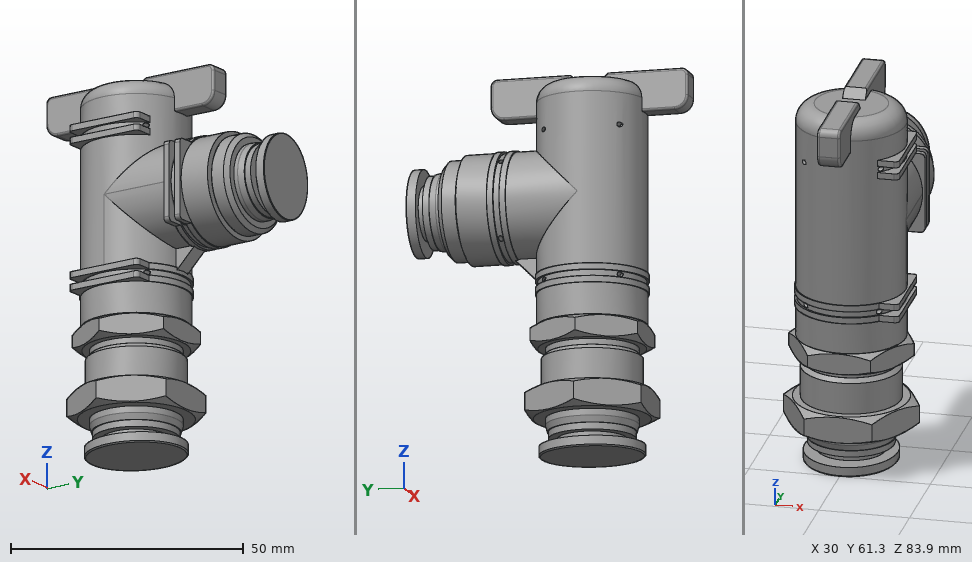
import cadquery as cq
import math


body_radius = 12.0
body_bottom = 28.7
body_top = 81.9
dome_radius = 4.0
branch_axis_height = 55.9
branch_end = 27.1

band_radius = 12.25
band_offset = 18.1
lower_pair_height = branch_axis_height - band_offset
upper_pair_height = 70.8
pair_width = 4.2
gap_width = 1.4
groove_radius = 11.75
hole_diameter = 1.0
blind_hole_reach = 6.5

lug_reach = 12.5
lug_length = 18.2
lug_corner_radius = 1.0

rib_thickness = 4.0
rib_size = 4.7
rib_overlap = 1.0

thread_radius = 11.0
thread_bottom = 14.4
thread_top = 22.4
thread_chamfer = 0.95
relief_radius = 10.1
upper_nut_bottom = 23.7
upper_nut_flats = 24.0
lower_nut_bottom = 8.25
lower_nut_flats = 26.0
nut_chamfer_drop = 1.15
nut_chamfer_inset = 0.3

socket_taper_top = 6.8
socket_taper_bottom = 5.35
socket_taper_end_radius = 9.65
socket_lip_radius = 9.45
socket_lip_bottom = 3.85
release_neck_radius = 7.5
release_thickness = 2.25
release_half_x = 10.3
release_half_y = 11.6
release_chamfer = 0.3

collar_start = 27.5
collar_end = 31.6
collar_radius = 11.0
collar_groove_radius = 10.5
collar_chamfer = 1.0
branch_socket_radius = 8.55
branch_taper_start = 32.6
branch_taper_end = 34.15
branch_taper_end_radius = 8.3
branch_lip_radius = 8.05
branch_lip_end = 35.65
branch_neck_radius = 6.0
branch_release_start = 37.15
branch_release_end = 39.3
branch_release_half_x = 8.25
branch_release_half_z = 9.65
branch_release_chamfer = 0.15

handle_half_length = 22.0
handle_width = 5.0
handle_bottom = 74.9
handle_top = 83.9
handle_notch_half_width = 2.3
handle_upper_corner = 1.5
handle_lower_corner = 3.0
handle_edge_fillet = 0.5


def disc(radius, start, end):
    """Cylinder on the Z axis between two heights."""
    return cq.Workplane("XY").workplane(offset=start).circle(radius).extrude(end - start)


def turned(profile):
    """Solid turned about Z from (radius, height) points that start and end on the axis."""
    return cq.Workplane("XZ").polyline(profile).close().revolve(360, (0, 0, 0), (0, 1, 0))


def to_branch(shape):
    """Move a shape from the Z axis onto the branch axis, so that +Z becomes +Y."""
    return shape.rotate((0, 0, 0), (1, 0, 0), -90).translate((0, 0, branch_axis_height))


def nut(flats, bottom, top):
    """Hexagon with corners on X, coned at both ends."""
    corner_radius = flats / math.sqrt(3)
    face_radius = flats / 2 - nut_chamfer_inset
    hexagon = (
        cq.Workplane("XY").workplane(offset=bottom)
        .polygon(6, 2 * corner_radius).extrude(top - bottom)
    )
    cones = turned([
        (0, bottom),
        (face_radius, bottom),
        (corner_radius, bottom + nut_chamfer_drop),
        (corner_radius, top - nut_chamfer_drop),
        (face_radius, top),
        (0, top),
    ])
    return hexagon.intersect(cones)


def release_ring(half_x, half_y, start, end, rim_chamfer):
    """Oval push ring of a tube socket, with its lower rim chamfered."""
    ring = cq.Workplane("XY").workplane(offset=start).ellipse(half_x, half_y).extrude(end - start)
    return ring.faces("<Z").chamfer(rim_chamfer)


def lugs(center):
    """Two flat lugs reaching to +X, one on each side of the gap at the given height."""
    lug_thickness = (pair_width - gap_width) / 2
    pair = cq.Workplane("XY")
    for bottom in (center - pair_width / 2, center + gap_width / 2):
        lug = (
            cq.Workplane("XY").box(lug_reach, lug_length, lug_thickness, centered=(False, True, False))
            .edges("|Z and >X").fillet(lug_corner_radius)
            .translate((0, 0, bottom))
        )
        pair = pair.add(lug)
    return pair.combine()


def bands(center):
    """Two raised bands around the Z axis with their lugs."""
    half_pair = pair_width / 2
    half_gap = gap_width / 2
    lower = disc(band_radius, center - half_pair, center - half_gap)
    upper = disc(band_radius, center + half_gap, center + half_pair)
    return lower.union(upper).union(lugs(center))


def band_groove(center):
    """Ring of material removed between two bands."""
    half_gap = gap_width / 2
    outer = disc(band_radius, center - half_gap, center + half_gap)
    return outer.cut(disc(groove_radius, center - half_gap, center + half_gap))


def cross_holes(center, inner_reach):
    """Cutters along X at both sides of the Z axis, drilled inward from -X and +X to the inner reach."""
    offset = body_radius * math.cos(math.pi / 4)
    length = body_radius - inner_reach
    cutters = cq.Workplane("XY")
    for side in (-1, 1):
        for start in (-body_radius, inner_reach):
            cutter = (
                cq.Workplane("YZ").workplane(offset=start)
                .center(side * offset, center)
                .circle(hole_diameter / 2).extrude(length)
            )
            cutters = cutters.add(cutter)
    return cutters.combine()


def body():
    """Vertical body and branch, with the band grooves, the upper lugs and all small holes."""
    column = disc(body_radius, body_bottom, body_top).faces(">Z").edges().fillet(dome_radius)
    shell = column.union(to_branch(disc(body_radius, 0, branch_end)))
    shell = shell.cut(band_groove(lower_pair_height)).cut(to_branch(band_groove(band_offset)))
    shell = shell.union(lugs(upper_pair_height))
    for height in (lower_pair_height, upper_pair_height):
        shell = shell.cut(cross_holes(height, blind_hole_reach))
    return shell.cut(to_branch(cross_holes(band_offset, 0)))


def rib():
    """Triangular rib in the inner corner below the branch."""
    corner_height = branch_axis_height - body_radius
    inside_y = body_radius - rib_overlap
    inside_z = corner_height + rib_overlap
    return (
        cq.Workplane("YZ").workplane(offset=-rib_thickness / 2)
        .moveTo(inside_y, corner_height - rib_size - rib_overlap)
        .lineTo(body_radius + rib_size + rib_overlap, inside_z)
        .lineTo(inside_y, inside_z)
        .close().extrude(rib_thickness)
    )


def lower_stem():
    """Threaded stem, both nuts and the lower tube socket."""
    stem = turned([
        (0, 0),
        (release_neck_radius, 0),
        (release_neck_radius, socket_lip_bottom),
        (socket_lip_radius, socket_lip_bottom),
        (socket_lip_radius, socket_taper_bottom),
        (socket_taper_end_radius, socket_taper_bottom),
        (relief_radius, socket_taper_top),
        (relief_radius, thread_bottom),
        (thread_radius, thread_bottom),
        (thread_radius, thread_top - thread_chamfer),
        (thread_radius - thread_chamfer, thread_top),
        (relief_radius, thread_top),
        (relief_radius, body_bottom),
        (0, body_bottom),
    ])
    stem = stem.union(nut(lower_nut_flats, lower_nut_bottom, thread_bottom))
    stem = stem.union(nut(upper_nut_flats, upper_nut_bottom, body_bottom))
    return stem.union(release_ring(release_half_x, release_half_y, 0, release_thickness, release_chamfer))


def branch_socket():
    """Collar and tube socket at the end of the branch."""
    socket = turned([
        (0, branch_end),
        (collar_groove_radius, branch_end),
        (collar_groove_radius, collar_start),
        (collar_radius, collar_start),
        (collar_radius, collar_end - collar_chamfer),
        (collar_radius - collar_chamfer, collar_end),
        (branch_socket_radius, collar_end),
        (branch_socket_radius, branch_taper_start),
        (branch_taper_end_radius, branch_taper_end),
        (branch_lip_radius, branch_taper_end),
        (branch_lip_radius, branch_lip_end),
        (branch_neck_radius, branch_lip_end),
        (branch_neck_radius, branch_release_end),
        (0, branch_release_end),
    ])
    thickness = branch_release_end - branch_release_start
    ring = release_ring(
        branch_release_half_x, branch_release_half_z, 0, thickness, branch_release_chamfer
    )
    ring = ring.rotate((0, 0, 0), (1, 0, 0), 180).translate((0, 0, branch_release_end))
    return to_branch(socket.union(ring))


def handle():
    """T-handle bar along Y with rounded corners and a notch over the flat of the dome."""
    bar = (
        cq.Workplane("XY").workplane(offset=handle_bottom)
        .rect(handle_width, 2 * handle_half_length).extrude(handle_top - handle_bottom)
    )
    bar = bar.faces(">Z").edges("|X").fillet(handle_upper_corner)
    bar = bar.faces("<Z").edges("|X").fillet(handle_lower_corner)
    bar = bar.faces("<X or >X").edges().fillet(handle_edge_fillet)
    notch_depth = handle_top - body_top
    notch = (
        cq.Workplane("YZ").workplane(offset=-handle_width / 2)
        .moveTo(-handle_notch_half_width, body_top)
        .lineTo(handle_notch_half_width, body_top)
        .lineTo(handle_notch_half_width + notch_depth, handle_top)
        .lineTo(-handle_notch_half_width - notch_depth, handle_top)
        .close().extrude(handle_width)
    )
    return bar.cut(notch)


result = body().union(lower_stem()).union(branch_socket()).union(handle())

for addition in (rib(), bands(lower_pair_height), to_branch(bands(band_offset))):
    result = result.union(addition, clean=False)